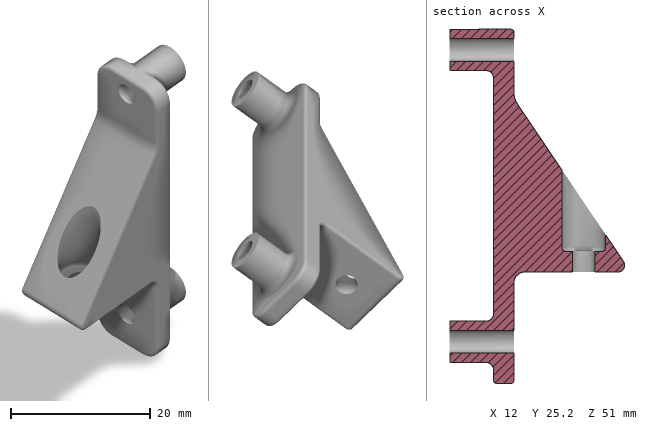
import cadquery as cq
import math

width = 12.0
height = 51.0
plate_thickness = 3.0
corner_radius = 3.0
edge_radius = 0.5

wedge_reach = 15.9
ledge_z = 16.0
slope_angle = 34.0
tip_radius = 1.0
upper_root_radius = 3.0
lower_root_radius = 1.5

post_diameter = 6.0
post_length = 6.25
post_flare = 1.0
post_hole_diameter = 3.2
lower_post_z = 6.0
upper_post_z = height - post_diameter / 2

screw_offset = 10.0
screw_hole_diameter = 3.2
bore_diameter = 6.2
bore_floor_z = ledge_z + 3.0
bore_floor_radius = 0.5


def rounded_plate(depth, inset=0):
    """Plate outline, optionally inset all round, extruded from the front face toward +Y."""
    return (
        cq.Workplane("XY")
        .box(width - 2 * inset, depth, height - 2 * inset, centered=(True, False, False))
        .edges("|Y")
        .fillet(corner_radius - inset)
        .translate((0, 0, inset))
    )


def wedge():
    """Triangular wedge with a rounded tip and concave roots on the plate."""
    slope = math.radians(slope_angle)
    tip_half_angle = (math.pi / 2 - slope) / 2
    sharp_reach = wedge_reach - tip_radius + tip_radius / math.tan(tip_half_angle)
    slope_top_z = ledge_z + sharp_reach / math.tan(slope)
    embed = plate_thickness / 2
    upper_run = upper_root_radius * math.tan(slope / 2)
    profile = (
        cq.Workplane("YZ")
        .moveTo(embed, ledge_z - lower_root_radius)
        .lineTo(0, ledge_z - lower_root_radius)
        .radiusArc((-lower_root_radius, ledge_z), -lower_root_radius)
        .lineTo(-sharp_reach, ledge_z)
        .lineTo(-upper_run * math.sin(slope), slope_top_z - upper_run * math.cos(slope))
        .radiusArc((0, slope_top_z + upper_run), -upper_root_radius)
        .lineTo(embed, slope_top_z + upper_run)
        .close()
    )
    solid = profile.extrude(width / 2, both=True)
    return solid.edges("<Y").fillet(tip_radius)


def flared_post(z):
    """Round post with a concave flare that stays within the flat back of the plate."""
    radius = post_diameter / 2
    embed = plate_thickness / 2
    flare = (
        cq.Workplane("XY")
        .moveTo(0, embed)
        .lineTo(radius + post_flare, embed)
        .lineTo(radius + post_flare, plate_thickness)
        .radiusArc((radius, plate_thickness + post_flare), post_flare)
        .lineTo(0, plate_thickness + post_flare)
        .close()
        .revolve(360, (0, 0), (0, 1))
        .translate((0, 0, z))
        .intersect(rounded_plate(plate_thickness + post_length, edge_radius))
    )
    post = (
        cq.Workplane("XZ", origin=(0, embed, z))
        .circle(radius)
        .extrude(-(plate_thickness - embed + post_length))
    )
    return post.union(flare)


def post_hole(z):
    """Hole running through the plate and the post behind it."""
    hole_length = plate_thickness + post_length
    return (
        cq.Workplane("XZ", origin=(0, 0, z))
        .circle(post_hole_diameter / 2)
        .extrude(-hole_length)
    )


def screw_cut():
    """Through hole with a wide bore above it, rounded around the bore floor."""
    hole = (
        cq.Workplane("XY")
        .center(0, -screw_offset)
        .circle(screw_hole_diameter / 2)
        .extrude(height)
    )
    bore = (
        cq.Workplane("XY", origin=(0, -screw_offset, bore_floor_z))
        .circle(bore_diameter / 2)
        .extrude(height - bore_floor_z)
        .faces("<Z")
        .edges()
        .fillet(bore_floor_radius)
    )
    return hole.union(bore)


body = rounded_plate(plate_thickness).union(wedge())
body = body.faces("<X or >X or >Y").edges().fillet(edge_radius)

post_heights = (lower_post_z, upper_post_z)
for post_z in post_heights:
    body = body.union(flared_post(post_z))
for post_z in post_heights:
    body = body.cut(post_hole(post_z))

result = body.cut(screw_cut())